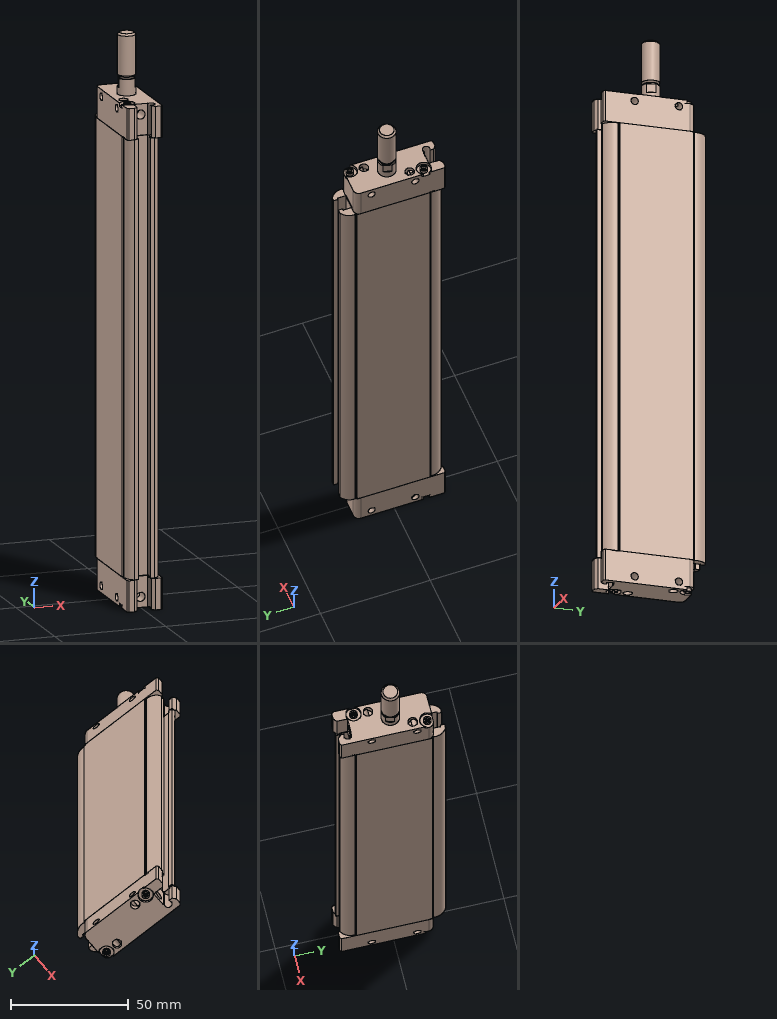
import cadquery as cq


total_height = 249.0
body_width = 16.0
half_width = body_width / 2
cap_height = 14.0
rod_reach = 27.1
profile_length = total_height - rod_reach - 2 * cap_height
upper_cap_base = cap_height + profile_length
cap_top = upper_cap_base + cap_height

core_half_depth = 17.2
arm_tip = 23.2
arm_inset = 0.5
seam_width = 0.5
seam_depth = 0.7
arm_flat_outer = 4.5
arm_bulge = (6.7, 21.0)
slot_half_opening = 2.7
slot_half_inside = 3.5
lip_thickness = 2.0

cap_back = 17.5
cap_front = -24.0
cap_corner_radius = 2.5
cap_slot_floor = -18.0
cap_arm_edge = 0.7
cap_slot_half_mouth = 4.7
cap_slot_half_width = 3.2
mouth_chamfer_depth = 1.2
cable_groove_x = 4.2
cable_groove_y = -19.7
cable_groove_diameter = 3.2

screw_x = 5.0
screw_y = 15.0
screw_recess_diameter = 6.5
screw_recess_depth = 1.5
screw_head_diameter = 3.2
socket_diameter = 2.0
socket_depth = 1.2
socket_drill_diameter = 1.0
socket_drill_depth = 2.5
port_x = 4.5
port_y = 8.7
port_diameter = 4.0
cross_hole_diameter = 3.2
cross_hole_y = 10.0
cross_hole_inset = 3.2
front_hole_diameter = 4.0
front_hole_inset = 4.7

rod_diameter = 8.0
rod_radius = rod_diameter / 2
rod_tip_chamfer = 0.87
groove_diameter = 6.5
groove_width = 1.5
groove_from_cap = 7.2
flat_length = 4.0
flat_spacing = 7.0
flat_turn = 15.0


def box_between(x_range, y_range, z_range):
    """Axis-aligned block given by its limits on each axis."""
    size = [high - low for low, high in (x_range, y_range, z_range)]
    corner = (x_range[0], y_range[0], z_range[0])
    return cq.Workplane("XY").box(*size, centered=False).translate(corner)


def make_profile():
    """Barrel extrusion: a core with a rounded, lipped T-slot rail and seam grooves on each narrow side."""
    arm_root = half_width - arm_inset
    slot_lip = arm_tip - lip_thickness
    core = (
        cq.Workplane("XY")
        .rect(body_width, 2 * core_half_depth)
        .extrude(profile_length)
    )
    seam_x = half_width - seam_depth
    seam_y = core_half_depth - seam_width
    for x_range in ((seam_x, half_width), (-half_width, -seam_x)):
        for y_range in ((seam_y, core_half_depth), (-core_half_depth, -seam_y)):
            core = core.cut(box_between(x_range, y_range, (0, profile_length)))
    arm = (
        cq.Workplane("XY")
        .moveTo(slot_half_inside, core_half_depth)
        .lineTo(arm_root, core_half_depth)
        .threePointArc(arm_bulge, (arm_flat_outer, arm_tip))
        .lineTo(slot_half_opening, arm_tip)
        .lineTo(slot_half_opening, slot_lip)
        .lineTo(slot_half_inside, slot_lip)
        .close()
        .extrude(profile_length)
    )
    arm_pair = arm.union(arm.mirror("YZ"))
    profile = core.union(arm_pair).union(arm_pair.mirror("XZ"))
    return profile.translate((0, 0, cap_height))


def cap_blank():
    """Cap block with rounded back corners and a flared slot along its front side."""
    depth = cap_back - cap_front
    block = (
        cq.Workplane("XY")
        .rect(body_width, depth)
        .extrude(cap_height)
        .translate((0, (cap_back + cap_front) / 2, 0))
    )
    block = block.edges("|Z and >Y").fillet(cap_corner_radius)
    block = block.edges("|Z and <Y").chamfer(cap_arm_edge)
    flare_start = cap_front + mouth_chamfer_depth
    slot = (
        cq.Workplane("XY")
        .polyline([
            (-cap_slot_half_width, cap_slot_floor),
            (cap_slot_half_width, cap_slot_floor),
            (cap_slot_half_width, flare_start),
            (cap_slot_half_mouth, cap_front),
            (-cap_slot_half_mouth, cap_front),
            (-cap_slot_half_width, flare_start),
        ])
        .close()
        .extrude(cap_height)
    )
    cable_groove = (
        cq.Workplane("XY", origin=(cable_groove_x, cable_groove_y, 0))
        .circle(cable_groove_diameter / 2)
        .extrude(cap_height)
    )
    return block.cut(slot).cut(cable_groove)


def face_cylinder(x, y, diameter, depth):
    """Cylinder going down from the top face of a cap that stands on Z = 0."""
    return cq.Workplane("XY", origin=(x, y, cap_height)).circle(diameter / 2).extrude(-depth)


def make_cap():
    """Cap in its upper orientation, standing on Z = 0; ports and front hole open into the cross holes."""
    cap = cap_blank()
    for side in (1, -1):
        x, y = side * screw_x, side * screw_y
        cap = cap.cut(face_cylinder(x, y, screw_recess_diameter, screw_recess_depth))
        cap = cap.union(face_cylinder(x, y, screw_head_diameter, screw_recess_depth))
        cap = cap.cut(face_cylinder(x, y, socket_diameter, socket_depth))
        cap = cap.cut(face_cylinder(x, y, socket_drill_diameter, socket_drill_depth))
        cap = cap.cut(face_cylinder(side * port_x, side * port_y, port_diameter, cross_hole_inset))
        cross_hole = (
            cq.Workplane("YZ", origin=(0, side * cross_hole_y, cap_height - cross_hole_inset))
            .circle(cross_hole_diameter / 2)
            .extrude(half_width, both=True)
        )
        cap = cap.cut(cross_hole)
    front_hole = (
        cq.Workplane("XZ", origin=(0, cap_slot_floor, cap_height - front_hole_inset))
        .circle(front_hole_diameter / 2)
        .extrude(cap_slot_floor + cross_hole_y)
    )
    return cap.cut(front_hole)


def make_upper_cap():
    rod_bore = cq.Workplane("XY").circle(rod_radius).extrude(cap_height)
    return make_cap().cut(rod_bore).translate((0, 0, upper_cap_base))


def make_lower_cap():
    return make_cap().mirror("XY").translate((0, 0, cap_height))


def make_rod():
    """Rod seated through the upper cap, with a thread-relief groove and two wrench flats."""
    rod = (
        cq.Workplane("XY", origin=(0, 0, upper_cap_base))
        .circle(rod_radius)
        .extrude(total_height - upper_cap_base)
        .faces(">Z")
        .chamfer(rod_tip_chamfer)
    )
    groove_base = cap_top + groove_from_cap
    groove_radius = groove_diameter / 2
    groove_top = groove_base + groove_width
    groove = (
        cq.Workplane("XZ")
        .polyline([
            (rod_radius, groove_base),
            (groove_radius, groove_base),
            (groove_radius, groove_top - (rod_radius - groove_radius)),
            (rod_radius, groove_top),
        ])
        .close()
        .revolve(360, (0, 0, 0), (0, 1, 0))
    )
    rod = rod.cut(groove)
    for turn in (-flat_turn, 180 - flat_turn):
        flat = box_between(
            (flat_spacing / 2, rod_diameter),
            (-rod_diameter, rod_diameter),
            (groove_base - flat_length, groove_base),
        )
        rod = rod.cut(flat.rotate((0, 0, 0), (0, 0, 1), turn))
    return rod


profile = make_profile().solids()
upper_cap = make_upper_cap().solids()
lower_cap = make_lower_cap().solids()
rod = make_rod().solids()

result = cq.Compound.makeCompound([profile.val(), upper_cap.val(), lower_cap.val(), rod.val()])